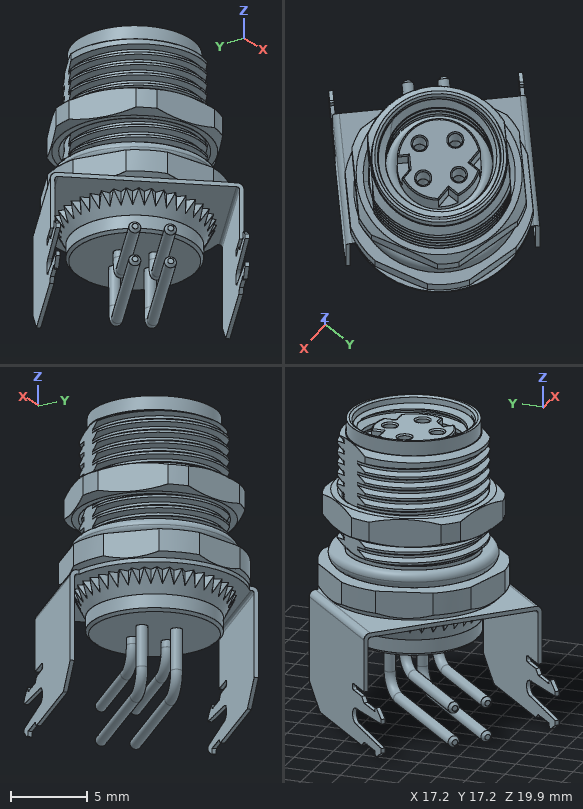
import cadquery as cq
import math

TURN = -45.0
TOTAL_HEIGHT = 19.9

BRACKET_HALF_WIDTH = 6.39
BRACKET_TOP = 7.95
SHEET = 0.3
BEND_RADIUS = 0.44
INNER_BEND_RADIUS = 0.2
BRACKET_FRONT = 6.3
BRACKET_BACK = 2.47
BACK_CORNER_LENGTH = 1.71
BACK_CORNER_HEIGHT = 1.61
TANG_TIP = 9.05
TANG_HEIGHT = 3.45
TANG_TIP_NEAR = 0.88
TANG_TIP_FAR = 0.54
BARB_FRONT = 8.25
BARB_BACK = 8.1
NOTCH_FRONT = 7.98
NOTCH_RAMP_END = 5.95
NOTCH_DEPTH = 0.34
FORK_END = 4.48
FORK_ARC_START = 5.05
FORK_ARC_HALF_GAP = 0.54
RELIEF_TOP = 3.86
RELIEF_CORNER = 0.14

COLLAR_RADIUS = 4.42
THREAD_RADIUS = 5.01
THREAD_ROOT = 4.62
THREAD_TOP = 18.9
THREAD_BOTTOM = 11.16
THREAD_START = 10.29
THREAD_END = 18.55
THREAD_TURNS = 11
THREAD_PITCH = (THREAD_END - THREAD_START) / THREAD_TURNS
THREAD_CREST = 0.1
THREAD_ROOT_FLAT = 0.18
THREAD_FLAT_WIDTH = 9.0
NECK_RADIUS = 4.48
FLANGE_TOP = 9.95
TAIL_RADIUS = 4.52
TAIL_BOTTOM = 4.9
TAIL_CHAMFER = 0.2

GROOVE_OVERRUN = 0.05

CONE_BOTTOM = 6.05
CONE_TOP_RADIUS = 5.35
KNURL_TEETH = 40
KNURL_VALLEY = 4.84

SEAL_RADIUS = 5.01
SEAL_SECTION = 0.58
SEAL_SQUEEZE = 0.02

FLANGE_FLATS = 12.0
FLANGE_CORNER_RADIUS = 6.29
FLANGE_CHAMFER = 0.45
NUT_FLATS = 11.0
NUT_CORNER_RADIUS = 5.99
NUT_BOTTOM = 12.88
NUT_HEIGHT = 2.0
NUT_CHAMFER = 0.32
NUT_CHAMFER_WIDTH = 0.55
NUT_BORE = 4.64
NUT_BORE_CHAMFER = 0.34

MOUTH_RADIUS = 4.22
MOUTH_CHAMFER = 0.12
LEAD_IN_RADIUS = 4.04
LEAD_IN_END_RADIUS = 3.98
LEAD_IN_DEPTH = 0.5
LEDGE_DROP = 0.24
BORE_GROOVE_RADIUS = 4.0
BORE_RADIUS = 3.52
BORE_FLOOR = 16.12
BORE_PITCH = 1.0
BORE_THREAD_START = 16.62
BORE_TURNS = 3
BORE_CREST = 0.22
BORE_GROOVE_FLAT = 0.12
INNER_SEAL_RADIUS = 3.15
INNER_SEAL_SECTION = 0.38
INSERT_RADIUS = 2.75
INSERT_TOP = 19.15
INSERT_CHAMFER = 0.1
KEY_DEPTH = 1.99
KEY_SIDE = 1.11
KEY_END = 1.71
SLANT_KEY_SIDE = 1.07
SLANT_KEY_END = 1.75
SLANT_KEY_RUN = 0.64

CONTACT_OFFSET = 1.17
CONTACT_PLACES = (-CONTACT_OFFSET, CONTACT_OFFSET)
CONTACT_RADIUS = 0.45
CONTACT_CHAMFER = 0.1
CONTACT_DEPTH = 2.19
PIN_RADIUS = 0.4
PIN_BEND = 1.47
PIN_TOP = 5.1
PIN_TIP = 9.21
PIN_TIP_CHAMFER = 0.2
UPPER_PIN_HEIGHT = 2.93
LOWER_PIN_HEIGHT = 0.54


def cylinder(radius, bottom, top):
    return cq.Workplane("XY").workplane(offset=bottom).circle(radius).extrude(top - bottom)


def revolved(points):
    """Solid turned about Z from (radius, height) points."""
    return cq.Workplane("XZ").polyline(points).close().revolve(360, (0, 0, 0), (0, 1, 0))


def ring(radius, section, height):
    """Round-section ring about Z."""
    return cq.Workplane(obj=cq.Solid.makeTorus(radius, section, cq.Vector(0, 0, height)))


def hexagon(flats, bottom, height):
    """Hexagonal prism with one pair of flats facing +X and -X."""
    corners = flats / math.cos(math.pi / 6)
    prism = cq.Workplane("XY").workplane(offset=bottom).polygon(6, corners).extrude(height)
    return prism.rotate((0, 0, 0), (0, 0, 1), 30)


def cut_helical_groove(solid, profile, pitch, start, turns):
    """Cut a right-hand helical groove, one turn at a time.

    Profile points are (radius, height above the middle of the groove).
    """
    path = cq.Workplane(obj=cq.Wire.makeHelix(pitch, pitch, profile[0][0], cq.Vector(0, 0, start)))
    section = cq.Workplane("XZ", origin=(0, 0, start)).polyline(profile).close()
    one_turn = section.sweep(path, isFrenet=True)
    for turn in range(turns):
        solid = solid.cut(one_turn.translate((0, 0, turn * pitch)), clean=False)
    return solid


def trapezoid(wide_radius, wide, narrow_radius, narrow):
    """Groove profile between two radii, each with the groove width there."""
    return [
        (wide_radius, -wide / 2),
        (narrow_radius, -narrow / 2),
        (narrow_radius, narrow / 2),
        (wide_radius, wide / 2),
    ]


def bracket_block(half_width, height, corner_radius):
    """Block as long as the bracket, with its two upper edges rounded."""
    return (
        cq.Workplane("XZ", origin=(0, BRACKET_BACK, 0))
        .center(0, height / 2)
        .rect(2 * half_width, height)
        .extrude(BRACKET_BACK + TANG_TIP)
        .edges("|Y and >Z").fillet(corner_radius)
    )


def make_bracket():
    channel = bracket_block(BRACKET_HALF_WIDTH, BRACKET_TOP, BEND_RADIUS)
    inside = bracket_block(BRACKET_HALF_WIDTH - SHEET, BRACKET_TOP - SHEET, INNER_BEND_RADIUS)
    bracket = channel.cut(inside).intersect(make_side_outline())
    flat_width = 2 * (BRACKET_HALF_WIDTH - BEND_RADIUS)
    rounded_back = (
        cylinder(FLANGE_CORNER_RADIUS, BRACKET_TOP - SHEET, BRACKET_TOP)
        .intersect(cq.Workplane("XY").box(flat_width, 2 * BRACKET_HALF_WIDTH, 2 * BRACKET_TOP))
    )
    return bracket.union(rounded_back)


def make_side_outline():
    """Side wall outline, cut through the whole bracket width."""
    middle = TANG_HEIGHT / 2
    edge = TANG_HEIGHT - NOTCH_DEPTH
    upper_prong = [
        (NOTCH_RAMP_END, TANG_HEIGHT),
        (BRACKET_FRONT, edge),
        (NOTCH_FRONT, edge),
        (BARB_BACK, TANG_HEIGHT),
        (BARB_FRONT, TANG_HEIGHT),
        (TANG_TIP, TANG_HEIGHT - TANG_TIP_FAR),
        (TANG_TIP, TANG_HEIGHT - TANG_TIP_NEAR),
    ]
    lower_prong = [(y, TANG_HEIGHT - z) for y, z in reversed(upper_prong)]
    outline = (
        cq.Workplane("YZ").workplane(offset=-BRACKET_HALF_WIDTH)
        .moveTo(BRACKET_BACK, BACK_CORNER_HEIGHT)
        .lineTo(BRACKET_BACK, BRACKET_TOP)
        .lineTo(-BRACKET_FRONT, BRACKET_TOP)
        .lineTo(-BRACKET_FRONT, TANG_HEIGHT)
    )
    for y, z in upper_prong:
        outline = outline.lineTo(-y, z)
    outline = (
        outline.lineTo(-FORK_ARC_START, middle + FORK_ARC_HALF_GAP)
        .threePointArc((-FORK_END, middle), (-FORK_ARC_START, middle - FORK_ARC_HALF_GAP))
    )
    for y, z in lower_prong:
        outline = outline.lineTo(-y, z)
    outline = outline.lineTo(BRACKET_BACK - BACK_CORNER_LENGTH, 0).close().extrude(2 * BRACKET_HALF_WIDTH)
    relief = (
        cq.Workplane("XY")
        .box(2 * BRACKET_HALF_WIDTH, BRACKET_FRONT - FORK_END, RELIEF_TOP - TANG_HEIGHT)
        .translate((0, -(BRACKET_FRONT + FORK_END) / 2, (RELIEF_TOP + TANG_HEIGHT) / 2))
        .edges("|X and >Y").fillet(RELIEF_CORNER)
    )
    return outline.cut(relief)


def make_shell():
    """Threaded tube with its collar, neck and socket bore."""
    lead = THREAD_RADIUS - NECK_RADIUS
    shell = revolved([
        (0, THREAD_BOTTOM),
        (NECK_RADIUS, THREAD_BOTTOM),
        (THREAD_RADIUS, THREAD_BOTTOM + lead / 2),
        (THREAD_RADIUS, THREAD_TOP - lead / 2),
        (NECK_RADIUS, THREAD_TOP),
        (0, THREAD_TOP),
    ])
    thread_groove = trapezoid(
        THREAD_RADIUS + GROOVE_OVERRUN, THREAD_PITCH - THREAD_CREST, THREAD_ROOT, THREAD_ROOT_FLAT
    )
    shell = cut_helical_groove(shell, thread_groove, THREAD_PITCH, THREAD_START, THREAD_TURNS)
    shell = shell.rotate((0, 0, 0), (0, 0, 1), 180)
    shell = shell.intersect(cq.Workplane("XY").box(THREAD_FLAT_WIDTH, 4 * THREAD_RADIUS, 2 * TOTAL_HEIGHT))
    shell = shell.union(cylinder(COLLAR_RADIUS, THREAD_BOTTOM, TOTAL_HEIGHT))
    shell = shell.union(cylinder(NECK_RADIUS, BRACKET_TOP, THREAD_BOTTOM))
    shell = shell.cut(make_bore())
    bore_groove = trapezoid(
        BORE_RADIUS - GROOVE_OVERRUN, BORE_PITCH - BORE_CREST, BORE_GROOVE_RADIUS, BORE_GROOVE_FLAT
    )
    return cut_helical_groove(shell, bore_groove, BORE_PITCH, BORE_THREAD_START, BORE_TURNS)


def make_tail():
    """Body below the plate, with a cone cut into teeth by a star-shaped outline."""
    tail = cylinder(TAIL_RADIUS, TAIL_BOTTOM, BRACKET_TOP).faces("<Z").chamfer(TAIL_CHAMFER)
    plate_bottom = BRACKET_TOP - SHEET
    cone = revolved([
        (0, CONE_BOTTOM),
        (TAIL_RADIUS, CONE_BOTTOM),
        (CONE_TOP_RADIUS, plate_bottom),
        (0, plate_bottom),
    ])
    star = []
    for i in range(2 * KNURL_TEETH):
        radius = CONE_TOP_RADIUS if i % 2 else KNURL_VALLEY
        angle = math.pi * i / KNURL_TEETH
        star.append((radius * math.cos(angle), radius * math.sin(angle)))
    knurl = cq.Workplane("XY").polyline(star).close().extrude(BRACKET_TOP)
    return tail.union(cone.intersect(knurl))


def make_flange():
    blank = cylinder(FLANGE_CORNER_RADIUS, BRACKET_TOP, FLANGE_TOP).faces("<Z").chamfer(FLANGE_CHAMFER)
    return blank.intersect(hexagon(FLANGE_FLATS, BRACKET_TOP, FLANGE_TOP - BRACKET_TOP))


def make_nut():
    top = NUT_BOTTOM + NUT_HEIGHT
    face_radius = NUT_CORNER_RADIUS - NUT_CHAMFER_WIDTH
    blank = revolved([
        (NUT_BORE + NUT_BORE_CHAMFER, NUT_BOTTOM),
        (face_radius, NUT_BOTTOM),
        (NUT_CORNER_RADIUS, NUT_BOTTOM + NUT_CHAMFER),
        (NUT_CORNER_RADIUS, top - NUT_CHAMFER),
        (face_radius, top),
        (NUT_BORE + NUT_BORE_CHAMFER, top),
        (NUT_BORE, top - NUT_BORE_CHAMFER),
        (NUT_BORE, NUT_BOTTOM + NUT_BORE_CHAMFER),
    ])
    return blank.intersect(hexagon(NUT_FLATS, NUT_BOTTOM, NUT_HEIGHT))


def make_bore():
    lead_in_end = TOTAL_HEIGHT - LEAD_IN_DEPTH
    return revolved([
        (0, BORE_FLOOR),
        (BORE_RADIUS, BORE_FLOOR),
        (BORE_RADIUS, lead_in_end - LEDGE_DROP),
        (LEAD_IN_END_RADIUS, lead_in_end),
        (LEAD_IN_RADIUS, TOTAL_HEIGHT - MOUTH_CHAMFER),
        (MOUTH_RADIUS, TOTAL_HEIGHT),
        (0, TOTAL_HEIGHT),
    ])


def make_insert():
    insert = cylinder(INSERT_RADIUS, BORE_FLOOR, INSERT_TOP)
    reach = INSERT_RADIUS
    keyways = (
        cq.Workplane("XY", origin=(0, 0, INSERT_TOP - KEY_DEPTH))
        .polyline([(KEY_SIDE, KEY_END), (reach, KEY_END), (reach, reach), (KEY_SIDE, reach)]).close()
        .polyline([(-KEY_SIDE, KEY_END), (-reach, KEY_END), (-reach, reach), (-KEY_SIDE, reach)]).close()
        .polyline([
            (2 * reach, -SLANT_KEY_SIDE),
            (SLANT_KEY_END, -SLANT_KEY_SIDE),
            (SLANT_KEY_END - SLANT_KEY_RUN, -SLANT_KEY_SIDE - SLANT_KEY_RUN),
            (SLANT_KEY_END - SLANT_KEY_RUN + reach, -SLANT_KEY_SIDE - SLANT_KEY_RUN - reach),
        ]).close()
        .extrude(KEY_DEPTH)
        .rotate((0, 0, 0), (0, 0, 1), -TURN)
    )
    insert = insert.cut(keyways).faces(">Z").chamfer(INSERT_CHAMFER)
    for x in CONTACT_PLACES:
        for y in CONTACT_PLACES:
            insert = insert.cut(make_contact_hole().translate((x, y, INSERT_TOP)))
    return insert


def make_contact_hole():
    """Blind hole below Z = 0 with a chamfered mouth and a conical end."""
    return revolved([
        (0, -CONTACT_DEPTH - CONTACT_RADIUS),
        (CONTACT_RADIUS, -CONTACT_DEPTH),
        (CONTACT_RADIUS, -CONTACT_CHAMFER),
        (CONTACT_RADIUS + CONTACT_CHAMFER, 0),
        (0, 0),
    ])


def make_pin(x, y, height):
    """Pin leaving the tail at (x, y) and bent to run towards -Y at the given height."""
    bend_y = y - PIN_BEND
    bend_z = height + PIN_BEND
    mid = PIN_BEND * math.sqrt(0.5)
    path = (
        cq.Workplane("YZ", origin=(x, 0, 0))
        .moveTo(y, PIN_TOP)
        .lineTo(y, bend_z)
        .threePointArc((bend_y + mid, bend_z - mid), (bend_y, height))
        .lineTo(-PIN_TIP, height)
    )
    pin = cq.Workplane("XY").workplane(offset=PIN_TOP).center(x, y).circle(PIN_RADIUS).sweep(path)
    return pin.faces("<Y").chamfer(PIN_TIP_CHAMFER)


lower_half = make_tail().union(make_flange()).union(make_bracket())
for x in CONTACT_PLACES:
    lower_half = lower_half.union(make_pin(x, -CONTACT_OFFSET, UPPER_PIN_HEIGHT))
    lower_half = lower_half.union(make_pin(x, CONTACT_OFFSET, LOWER_PIN_HEIGHT))

outer_seal = ring(SEAL_RADIUS, SEAL_SECTION, FLANGE_TOP + SEAL_SECTION - SEAL_SQUEEZE)
inner_seal = ring(INNER_SEAL_RADIUS, INNER_SEAL_SECTION, BORE_FLOOR + INNER_SEAL_SECTION - SEAL_SQUEEZE)
upper_half = make_shell().union(make_nut()).union(make_insert()).union(outer_seal).union(inner_seal)
result = upper_half.union(lower_half).rotate((0, 0, 0), (0, 0, 1), TURN)